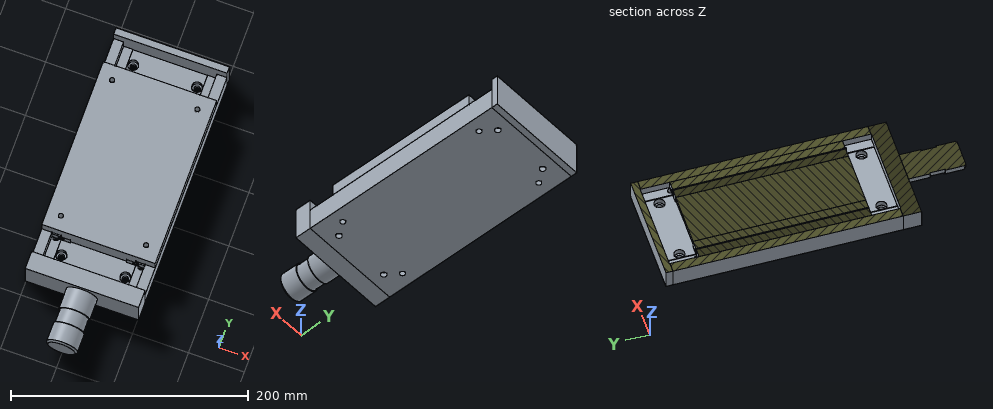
import cadquery as cq

WIDTH = 101.7
HEIGHT = 36.5
TOTAL_LENGTH = 276.2

FRONT_PLATE = 16.0
REAR_PLATE = 6.0
BASE_LENGTH = 203.3
KNOB_LENGTH = TOTAL_LENGTH - FRONT_PLATE - BASE_LENGTH - REAR_PLATE
OVERHANG_THICKNESS = 12.7
BASE_HEIGHT = HEIGHT - OVERHANG_THICKNESS
WALL = 9.0
FLOOR_Z = 10.8

RAIL_WIDTH = 8.0
RAIL_BOTTOM = 11.5
RAIL_TOP = 19.5
RAIL_LENGTH = 152.5
RAIL_GAP = 0.5
GROOVE_DEPTH = 2.5
RAIL_MIDDLE = (RAIL_BOTTOM + RAIL_TOP) / 2
LEDGE_X = WIDTH / 2 - WALL - RAIL_WIDTH - RAIL_GAP / 2
INNER_RUNNING_X = LEDGE_X - RAIL_GAP / 2
INNER_RAIL_BACK_X = INNER_RUNNING_X - RAIL_WIDTH

CARRIAGE_LENGTH = RAIL_LENGTH
CARRIAGE_SHIFT = -0.3
CARRIAGE_BOTTOM = 15.0

CARRIAGE_HOLE_DIAMETER = 4.1
CARRIAGE_HOLE_PITCH_Y = 127.0
LEDGE_HOLE_DIAMETER = 5.0
SIDE_HOLE_PITCH_X = 76.2
MOUNT_HOLE_DIAMETER = 5.5
COUNTERBORE_DIAMETER = 9.0
COUNTERBORE_DEPTH = 5.2
MOUNT_PITCH_X = 57.2
MOUNT_PITCH_Y = 178.0

KNOB_DIAMETER = 28.0
WAIST_DIAMETER = 25.7
SLEEVE_LENGTH = 19.0
WAIST_LENGTH = 13.3
KNOB_CHAMFER = 1.7

BASE_FRONT_Y = -BASE_LENGTH / 2
BASE_BACK_Y = BASE_LENGTH / 2


def extrude_profile(points, length, middle_y):
    """Extrude an XZ outline along Y, centred on middle_y."""
    front = cq.Workplane("XZ", origin=(0, middle_y + length / 2, 0))
    return front.polyline(points).close().extrude(length)


def mirrored(right_points):
    """Complete an outline from its right half, listed from one centre point to the other."""
    return right_points + [(-x, z) for x, z in reversed(right_points)]


def hole_cutters(diameter, pitch_x, pitch_y, bottom_z, top_z):
    """Four vertical cylinders on a rectangle centred on the base."""
    return (
        cq.Workplane("XY", origin=(0, 0, bottom_z))
        .rarray(pitch_x, pitch_y, 2, 2).circle(diameter / 2).extrude(top_z - bottom_z)
    )


def make_base():
    wall_x = WIDTH / 2 - WALL
    right_half = [
        (WIDTH / 2, 0),
        (WIDTH / 2, BASE_HEIGHT),
        (wall_x, BASE_HEIGHT),
        (wall_x, RAIL_BOTTOM),
        (LEDGE_X, RAIL_BOTTOM),
        (LEDGE_X, FLOOR_Z),
    ]
    base = extrude_profile(mirrored(right_half), BASE_LENGTH, 0)
    ledge_holes = hole_cutters(
        LEDGE_HOLE_DIAMETER, SIDE_HOLE_PITCH_X, RAIL_LENGTH, 0, RAIL_BOTTOM)
    mount_holes = hole_cutters(
        MOUNT_HOLE_DIAMETER, MOUNT_PITCH_X, MOUNT_PITCH_Y, 0, FLOOR_Z)
    counterbores = hole_cutters(
        COUNTERBORE_DIAMETER, MOUNT_PITCH_X, MOUNT_PITCH_Y, FLOOR_Z - COUNTERBORE_DEPTH, FLOOR_Z)
    return base.cut(ledge_holes).cut(mount_holes).cut(counterbores)


def make_carriage():
    right_half = [
        (INNER_RAIL_BACK_X, CARRIAGE_BOTTOM),
        (INNER_RAIL_BACK_X, RAIL_TOP),
        (INNER_RUNNING_X, RAIL_TOP),
        (INNER_RUNNING_X, BASE_HEIGHT),
        (WIDTH / 2, BASE_HEIGHT),
        (WIDTH / 2, HEIGHT),
    ]
    carriage = extrude_profile(mirrored(right_half), CARRIAGE_LENGTH, CARRIAGE_SHIFT)
    holes = hole_cutters(
        CARRIAGE_HOLE_DIAMETER, SIDE_HOLE_PITCH_X, CARRIAGE_HOLE_PITCH_Y, BASE_HEIGHT, HEIGHT)
    return carriage.cut(holes.translate((0, CARRIAGE_SHIFT, 0)))


def make_rail(side, outward):
    """A rail on side +1 (+X) or -1, lying outward (+1) or inward (-1) of the gap."""
    running_x = side * (LEDGE_X + outward * RAIL_GAP / 2)
    step = side * outward
    back_x = running_x + step * RAIL_WIDTH
    points = [
        (back_x, RAIL_BOTTOM),
        (back_x, RAIL_TOP),
        (running_x, RAIL_TOP),
        (running_x, RAIL_MIDDLE + GROOVE_DEPTH),
        (running_x + step * GROOVE_DEPTH, RAIL_MIDDLE),
        (running_x, RAIL_MIDDLE - GROOVE_DEPTH),
        (running_x, RAIL_BOTTOM),
    ]
    return extrude_profile(points, RAIL_LENGTH, CARRIAGE_SHIFT)


def make_end_plate(thickness, middle_y):
    return cq.Workplane("XY", origin=(0, middle_y, 0)).box(
        WIDTH, thickness, HEIGHT, centered=(True, True, False)
    )


def make_knob():
    """Revolve the half outline, radius along -X and distance from the front plate along -Y."""
    radius = KNOB_DIAMETER / 2
    waist_radius = WAIST_DIAMETER / 2
    waist_end = SLEEVE_LENGTH + WAIST_LENGTH
    return (
        cq.Workplane("XY", origin=(0, BASE_FRONT_Y - FRONT_PLATE, HEIGHT / 2))
        .polyline([
            (0, 0),
            (-radius, 0),
            (-radius, -SLEEVE_LENGTH),
            (-waist_radius, -SLEEVE_LENGTH),
            (-waist_radius, -waist_end),
            (-radius, -waist_end),
            (-radius, -KNOB_LENGTH + KNOB_CHAMFER),
            (-radius + KNOB_CHAMFER, -KNOB_LENGTH),
            (0, -KNOB_LENGTH),
        ])
        .close()
        .revolve(360, (0, 0, 0), (0, 1, 0))
    )


base = make_base()
carriage = make_carriage()
front_plate = make_end_plate(FRONT_PLATE, BASE_FRONT_Y - FRONT_PLATE / 2)
rear_plate = make_end_plate(REAR_PLATE, BASE_BACK_Y + REAR_PLATE / 2)
knob = make_knob()

outer_rails = [make_rail(side, 1) for side in (-1, 1)]
inner_rails = [make_rail(side, -1) for side in (-1, 1)]

result = cq.Compound.makeCompound([
    base.val(),
    carriage.val(),
    front_plate.val(),
    rear_plate.val(),
    knob.val(),
    *[rail.val() for rail in outer_rails],
    *[rail.val() for rail in inner_rails],
])